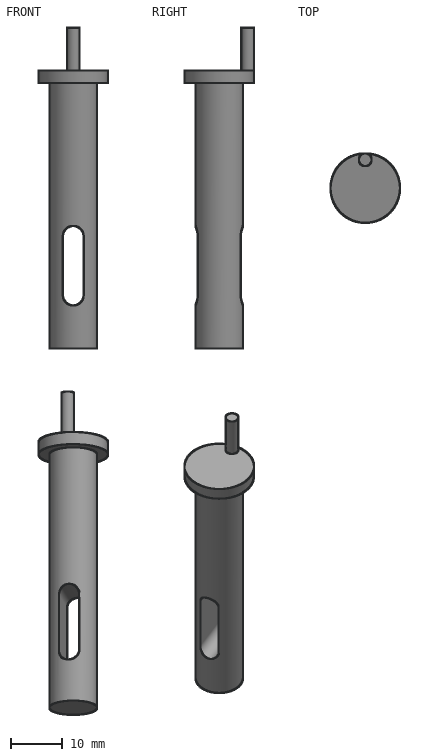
import cadquery as cq

total_height = 62.3
flange_diameter = 13.5
flange_thickness = 2.5
shaft_diameter = 9.3
pin_diameter = 2.5
pin_height = 8.3
shaft_length = total_height - pin_height - flange_thickness

slot_width = 4.0
slot_length = 15.4
slot_bottom = 8.4
slot_center_z = slot_bottom + slot_length / 2

pin_offset = (flange_diameter - pin_diameter) / 2


def cylinder(diameter, height, base_z, center_y=0):
    """Vertical cylinder standing on the height base_z."""
    return cq.Workplane("XY", origin=(0, center_y, base_z)).circle(diameter / 2).extrude(height)


def through_slot():
    """Vertical slot cutter that crosses the whole shaft."""
    return (
        cq.Workplane("XZ", origin=(0, 0, slot_center_z))
        .slot2D(slot_length, slot_width, angle=90)
        .extrude(shaft_diameter, both=True)
    )


shaft = cylinder(shaft_diameter, shaft_length, 0).cut(through_slot())
flange = cylinder(flange_diameter, flange_thickness, shaft_length)
pin = cylinder(pin_diameter, pin_height, shaft_length + flange_thickness, pin_offset)

result = shaft.union(flange).union(pin)